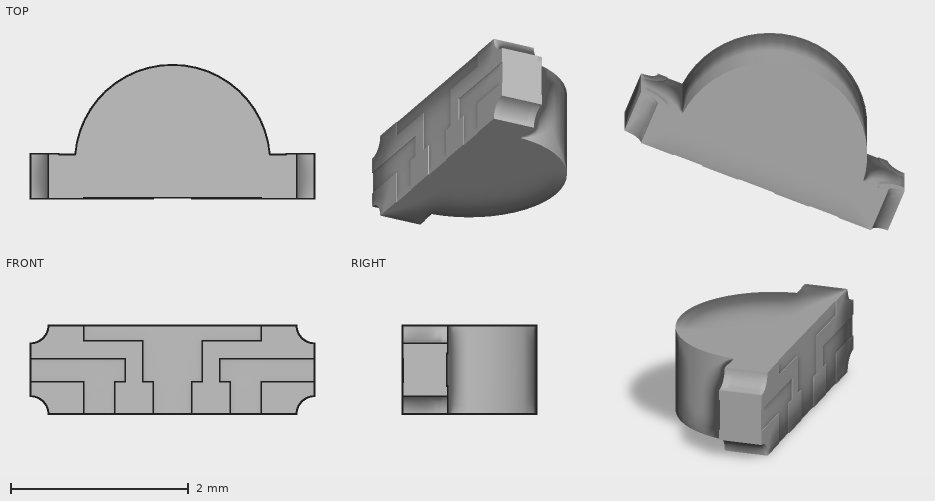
import cadquery as cq

length = 3.2
height = 1.0
depth = 1.51

metal = 0.01
board_rear = 0.5
notch_radius = 0.2
rear_ring_radius = 0.32

lens_radius = 1.1

corner_pad_inner = 1.0
arm_underside = 0.625
arm_top = 0.825
foot_top = 0.365
leg_centre = 0.432
leg_width = 0.2
foot_width = 0.432

half_length = length / 2


def corner_cylinders(radius):
    """Cylinders along Y, centred on the four long corners of the board."""
    corners = [(x, z) for x in (-half_length, half_length) for z in (0, height)]
    return cq.Workplane("XZ").pushPoints(corners).circle(radius).extrude(-depth)


def slab(y_front, thickness):
    """Full-face rectangular layer of the board."""
    return (
        cq.Workplane("XZ", origin=(0, y_front, height / 2))
        .rect(length, height)
        .extrude(-thickness)
    )


def front_metal():
    """Stepped conductor and lower corner pad on each half of the front face."""
    leg_inner = leg_centre - leg_width / 2
    leg_outer = leg_centre + leg_width / 2
    foot_inner = leg_centre - foot_width / 2
    foot_outer = leg_centre + foot_width / 2
    conductor = (
        cq.Workplane("XZ")
        .polyline(
            [
                (half_length, height),
                (corner_pad_inner, height),
                (corner_pad_inner, arm_top),
                (leg_inner, arm_top),
                (leg_inner, foot_top),
                (foot_inner, foot_top),
                (foot_inner, 0),
                (foot_outer, 0),
                (foot_outer, foot_top),
                (leg_outer, foot_top),
                (leg_outer, arm_underside),
                (half_length, arm_underside),
            ]
        )
        .close()
        .extrude(-metal)
    )
    corner_pad = (
        cq.Workplane("XZ")
        .rect(half_length - corner_pad_inner, foot_top, centered=False)
        .extrude(-metal)
        .translate((corner_pad_inner, 0, 0))
    )
    right_half = conductor.union(corner_pad)
    return right_half.union(right_half.mirror("YZ"))


def rear_metal():
    """Quarter rings around the corner notches on the rear face."""
    return slab(board_rear, metal).intersect(corner_cylinders(rear_ring_radius))


def lens():
    """Full-height half-round lens rising from the rear face."""
    cylinder = cq.Workplane("XY", origin=(0, depth - lens_radius, 0)).circle(lens_radius).extrude(height)
    behind_board = (
        cq.Workplane("XY")
        .rect(length, depth)
        .extrude(height)
        .translate((0, board_rear + depth / 2, 0))
    )
    return cylinder.intersect(behind_board)


board = slab(metal, board_rear - metal)
body = board.union(front_metal()).union(rear_metal())
body = body.cut(corner_cylinders(notch_radius))
result = body.union(lens())